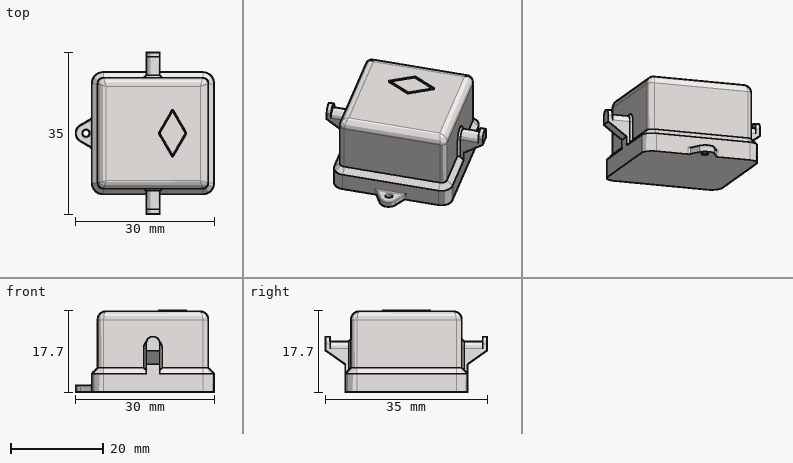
import cadquery as cq
import math

base_side = 26.5
base_height = 4.0
base_corner_radius = 2.5
body_side = 24.0
body_top = 17.5
body_edge_radius = 1.8
ledge = (base_side - body_side) / 2
body_corner_radius = base_corner_radius - ledge

peg_span = 35.0
peg_width = 3.0
peg_top = 11.0
peg_slope_bottom = 6.0
peg_head_top = 12.0
peg_head_bottom = 9.0
peg_head_thickness = 1.0
peg_root_chamfer = 0.5
peg_tip = peg_span / 2

eyelet_reach = 3.5
eyelet_height = 1.5
eyelet_nose_radius = 2.0
eyelet_flank_angle = math.radians(30)
eyelet_fillet = 0.2
eyelet_root_radius = 0.5
eyelet_hole_diameter = 1.5
eyelet_hole_from_wall = 1.25
eyelet_wall_x = -base_side / 2
eyelet_tip_x = eyelet_wall_x - eyelet_reach
seam_margin = 0.01
seam_reach = base_side / 4

diamond_x = 4.25
diamond_width = 6.05
diamond_length = 10.45
diamond_line = 0.2
diamond_height = 0.2
diamond_tip_radius = 0.1


def make_body():
    """Square body; the large top rounding meets the smaller corner rounding in a point."""
    block = cq.Workplane("XY").box(body_side, body_side, body_top, centered=(True, True, False))
    rounded_top = block.faces(">Z").edges().fillet(body_edge_radius)
    return rounded_top.edges("|Z").fillet(body_corner_radius)


def make_base():
    """Base with rounded corners and a 45 degree ledge rising to the body walls."""
    plan = cq.Sketch().rect(base_side, base_side).vertices().fillet(base_corner_radius)
    lower = cq.Workplane("XY").placeSketch(plan).extrude(base_height)
    slope = cq.Workplane("XY").workplane(offset=base_height).placeSketch(plan).extrude(ledge, taper=45)
    return lower.union(slope)


def make_arch(y_start, length, width, top, bottom, taper=0):
    """Upright bar along +Y with a half-round top."""
    half_width = width / 2
    spring_height = top - half_width
    return (
        cq.Workplane("XZ", origin=(0, y_start, 0))
        .moveTo(-half_width, bottom)
        .lineTo(half_width, bottom)
        .lineTo(half_width, spring_height)
        .threePointArc((0, top), (-half_width, spring_height))
        .close()
        .extrude(-length, taper=taper)
    )


def make_peg():
    """Peg on the +Y side: round-topped bar, raised head, sloped underside, chamfered root."""
    wall = body_side / 2
    bar = make_arch(0, peg_tip, peg_width, peg_top, 0)
    head = make_arch(peg_tip - peg_head_thickness, peg_head_thickness, peg_width, peg_head_top, 0)
    side_outline = (
        cq.Workplane("YZ")
        .polyline([
            (0, 0),
            (base_side / 2, 0),
            (base_side / 2, peg_slope_bottom),
            (peg_tip, peg_head_bottom),
            (peg_tip, peg_head_top),
            (0, peg_head_top),
        ])
        .close()
        .extrude(peg_width, both=True)
    )
    root = make_arch(
        wall,
        peg_root_chamfer,
        peg_width + 2 * peg_root_chamfer,
        peg_top + peg_root_chamfer,
        base_height,
        taper=45,
    )
    return bar.union(head).intersect(side_outline).union(root)


def make_eyelet():
    """Sharp-edged ear with 30 degree flanks around a round nose."""
    nose_x = eyelet_tip_x + eyelet_nose_radius
    tangent_x = nose_x - eyelet_nose_radius * math.sin(eyelet_flank_angle)
    tangent_y = eyelet_nose_radius * math.cos(eyelet_flank_angle)
    inner_x = eyelet_wall_x + ledge
    inner_y = tangent_y + (inner_x - tangent_x) * math.tan(eyelet_flank_angle)
    return (
        cq.Workplane("XY")
        .moveTo(inner_x, -inner_y)
        .lineTo(tangent_x, -tangent_y)
        .threePointArc((eyelet_tip_x, 0), (tangent_x, tangent_y))
        .lineTo(inner_x, inner_y)
        .close()
        .extrude(eyelet_height)
    )


def wall_seam():
    """Selector for the edges where the eyelet meets the base wall."""
    return cq.selectors.BoxSelector(
        (eyelet_wall_x - seam_margin, -seam_reach, seam_margin),
        (eyelet_wall_x + seam_margin, seam_reach, base_height / 2),
    )


def add_eyelet(hood):
    """Join the eyelet to the base, blend it into the wall and drill its rounded hole."""
    joined = hood.union(make_eyelet())
    joined = joined.edges(wall_seam()).edges("|Z").fillet(eyelet_root_radius)
    joined = joined.edges(wall_seam()).edges("|Y").fillet(eyelet_fillet)

    rim = cq.selectors.BoxSelector(
        (eyelet_tip_x - seam_margin, -seam_reach, eyelet_height - seam_margin),
        (eyelet_wall_x - seam_margin, seam_reach, eyelet_height + seam_margin),
    )
    joined = joined.edges(rim).fillet(eyelet_fillet)

    hole_x = eyelet_wall_x - eyelet_hole_from_wall
    hole = cq.Workplane("XY").center(hole_x, 0).circle(eyelet_hole_diameter / 2).extrude(eyelet_height)
    joined = joined.cut(hole)
    hole_rim = cq.selectors.NearestToPointSelector((hole_x, 0, eyelet_height))
    return joined.edges(hole_rim).fillet(eyelet_fillet)


def make_diamond(width, length):
    """Thin diamond plate lying on the top face."""
    return (
        cq.Workplane("XY", origin=(diamond_x, 0, body_top))
        .polyline([(width / 2, 0), (0, length / 2), (-width / 2, 0), (0, -length / 2)])
        .close()
        .extrude(diamond_height)
        .edges("|Z")
        .fillet(diamond_tip_radius)
    )


def make_diamond_frame():
    """Diamond plate with a smaller diamond cut out, leaving a line of even thickness."""
    side = math.hypot(diamond_width, diamond_length)
    opening_ratio = 1 - 2 * diamond_line * side / (diamond_width * diamond_length)
    opening = make_diamond(diamond_width * opening_ratio, diamond_length * opening_ratio)
    return make_diamond(diamond_width, diamond_length).cut(opening)


peg = make_peg()
hood = make_body().union(make_base())
hood = hood.union(peg).union(peg.mirror("XZ"))
hood = add_eyelet(hood)
result = hood.union(make_diamond_frame())